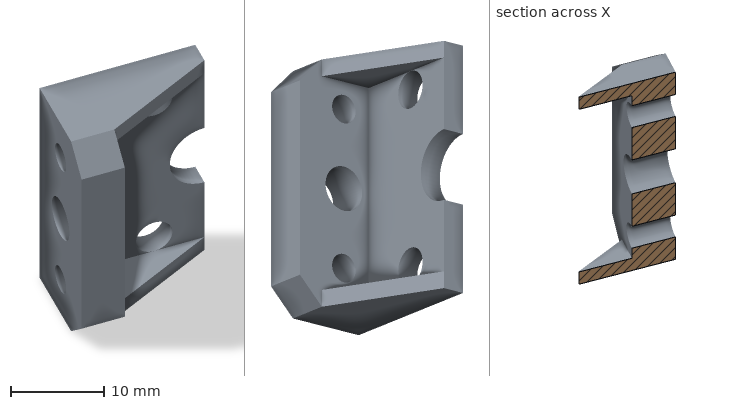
import cadquery as cq

width = 12.0
depth = 18.0
height = 28.0

plate_depth = 5.0
corner_chamfer = 3.0
gusset_width = width - corner_chamfer
wall_thickness = 2.6
gusset_thickness = 1.9

center_bore_diameter = 5.0
pin_hole_diameter = 3.2
pin_hole_spacing = 18.0

side_hole_diameter = 4.2
side_hole_spacing = 20.0
side_hole_y = 12.2

notch_diameter = 8.0


def wedge_body():
    """Solid wedge enclosing the plate, wall and gussets, centred on Z = 0."""
    return (
        cq.Workplane("XY")
        .workplane(offset=-height / 2)
        .moveTo(0, 0)
        .lineTo(width, 0)
        .lineTo(width, plate_depth)
        .lineTo(gusset_width, plate_depth)
        .lineTo(wall_thickness, depth)
        .lineTo(0, depth)
        .close()
        .extrude(height)
    )


def gusset_gap():
    """Open space behind the plate, between the two gussets."""
    return cq.Workplane("XY").box(
        width - wall_thickness,
        depth - plate_depth,
        height - 2 * gusset_thickness,
        centered=(False, False, True),
    ).translate((wall_thickness, plate_depth, 0))


def chamfer_plate_corners(body):
    """Bevel the top and bottom corners on the +X side of the plate."""
    return body.faces(">X").edges("|Y").chamfer(corner_chamfer)


def hole_along_y(x, z, diameter):
    """Cylinder through the whole depth of the part."""
    return cq.Workplane("XZ").center(x, z).circle(diameter / 2).extrude(-depth)


def hole_along_x(y, z, diameter):
    """Cylinder through the whole width of the part."""
    return cq.Workplane("YZ").center(y, z).circle(diameter / 2).extrude(width)


result = chamfer_plate_corners(wedge_body())
result = result.cut(gusset_gap())
result = result.cut(hole_along_y(width / 2, 0, center_bore_diameter))
result = result.cut(hole_along_x(depth, 0, notch_diameter))
for side in (-1, 1):
    result = result.cut(hole_along_y(width / 2, side * pin_hole_spacing / 2, pin_hole_diameter))
    result = result.cut(hole_along_x(side_hole_y, side * side_hole_spacing / 2, side_hole_diameter))